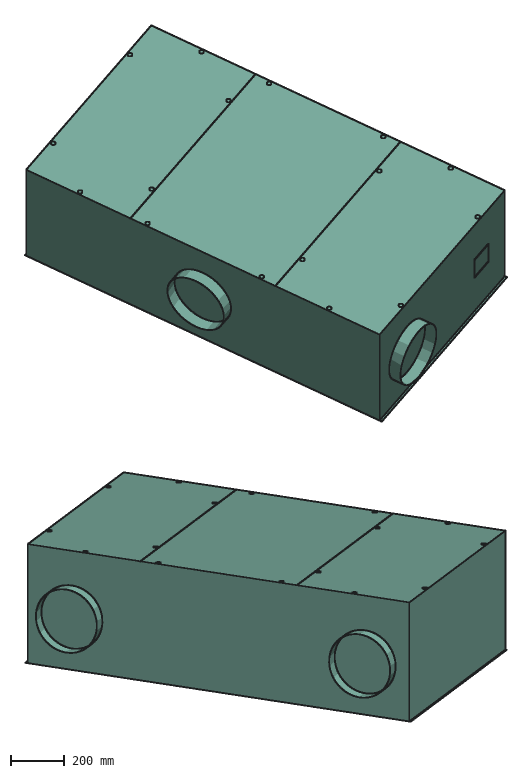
import cadquery as cq

overall_length = 1618.0
overall_width = 970.0
overall_height = 472.0

spigot_length = 50.0
base_overhang_left = 5.0
base_overhang_right = 10.0
base_thickness = 1.0
housing_length = overall_length - spigot_length - base_overhang_left
housing_width = overall_width - 2 * spigot_length
half_length = housing_length / 2
half_width = housing_width / 2

spigot_diameter = 250.0
spigot_wall = 1.0
front_spigot_height = 235.0
side_spigot_height = 218.0
back_spigot_height = 210.0
back_spigot_inset = 181.0
side_spigot_inset = 191.0

end_panel_length = 461.0
seam_width = 1.0
seam_depth = 1.0
seam_x = half_length - end_panel_length

screw_diameter = 18.0
screw_depth = 1.0
screw_edge_distance = 13.0
screw_corner_distance = 168.0
middle_screw_seam_distance = 68.0

cover_size = 97.0
cover_thickness = 2.5
cover_inset = 165.0


def box_between(x_range, y_range, z_range):
    """Axis-aligned box given its lower and upper limits."""
    sizes = [upper - lower for lower, upper in (x_range, y_range, z_range)]
    corner = (x_range[0], y_range[0], z_range[0])
    return cq.Workplane("XY").box(*sizes, centered=False).translate(corner)


def spigot(wall_point, outward):
    """Open tube standing on a housing wall."""
    wall_plane = cq.Plane(origin=wall_point, xDir=(0, 0, 1), normal=outward)
    outer_radius = spigot_diameter / 2
    ring = cq.Workplane(wall_plane).circle(outer_radius).circle(outer_radius - spigot_wall)
    return ring.extrude(spigot_length)


def screw_positions():
    """Centres of all lid screws, mirrored about both centre lines."""
    edge_y = half_width - screw_edge_distance
    side_y = half_width - screw_corner_distance
    quarter = [
        (half_length - screw_edge_distance, side_y),
        (seam_x + screw_edge_distance, side_y),
        (half_length - end_panel_length / 2, edge_y),
        (seam_x - middle_screw_seam_distance, edge_y),
    ]
    return [(sx * x, sy * y) for x, y in quarter for sx in (-1, 1) for sy in (-1, 1)]


result = box_between((-half_length, half_length), (-half_width, half_width), (0, overall_height))
base_plate = box_between(
    (-half_length - base_overhang_left, half_length + base_overhang_right),
    (-half_width, half_width),
    (0, base_thickness),
)
result = result.union(base_plate)

back_spigot_x = half_length - back_spigot_inset
result = result.union(spigot((0, -half_width, front_spigot_height), (0, -1, 0)))
result = result.union(spigot((half_length, side_spigot_inset - half_width, side_spigot_height), (1, 0, 0)))
for x in (-back_spigot_x, back_spigot_x):
    result = result.union(spigot((x, half_width, back_spigot_height), (0, 1, 0)))

cover = cq.Workplane("XY").box(cover_thickness, cover_size, cover_size).translate(
    (half_length + cover_thickness / 2, half_width - cover_inset, overall_height / 2)
)
result = result.union(cover)

lid = cq.Workplane("XY").workplane(offset=overall_height)
seams = lid.pushPoints([(-seam_x, 0), (seam_x, 0)]).rect(seam_width, housing_width).extrude(-seam_depth)
screws = lid.pushPoints(screw_positions()).circle(screw_diameter / 2).extrude(-screw_depth)
result = result.cut(seams).cut(screws)